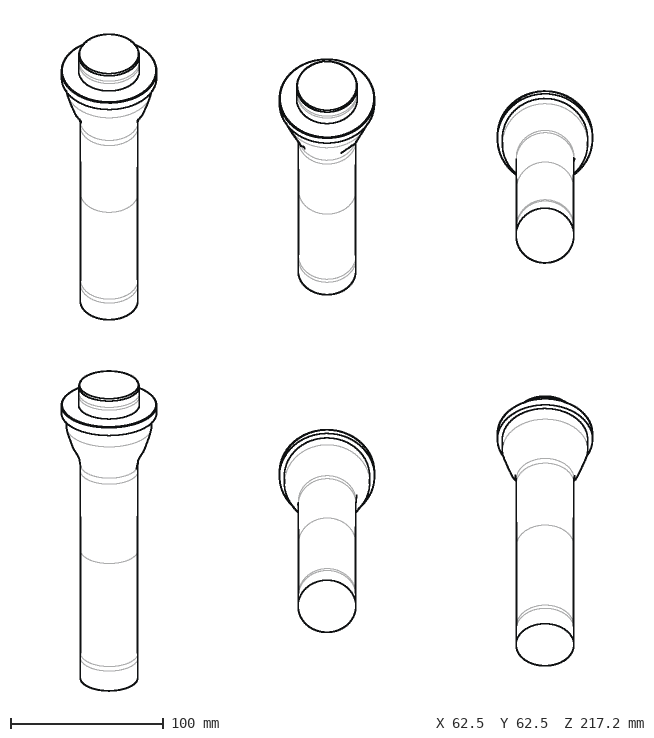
import cadquery as cq

GRIP_DIAMETER = 37.63
COLLAR_DIAMETER = 38.02
BELL_DIAMETER = 56.0
FLANGE_DIAMETER = 62.5
HEAD_BASE_DIAMETER = 39.99
HEAD_DIAMETER = 39.7

COLLAR_TOP = 15.0
GRIP_START = 18.25
GRIP_END = 94.75
NECK_START = 153.75
NECK_END = 158.25
BELL_START = 186.25
FLANGE_START = 196.25
FLANGE_TOP = 202.5
HEAD_TAPER_START = 209.25
HEAD_TAPER_END = 211.25
TOTAL_HEIGHT = 217.25

FLANGE_CHAMFER = 0.5
HEAD_CHAMFER_WIDTH = 0.5
HEAD_CHAMFER_HEIGHT = 1.5

FLARE_TURN = (20.2, 164.8)
FLARE_LOWER = (22.8, 169.5)
FLARE_UPPER = (26.0, 178.8)
FLARE_END_TANGENT = (0.15, 1.0)
VERTICAL = (0.0, 1.0)

grip_radius = GRIP_DIAMETER / 2
collar_radius = COLLAR_DIAMETER / 2
bell_radius = BELL_DIAMETER / 2
flange_radius = FLANGE_DIAMETER / 2
head_base_radius = HEAD_BASE_DIAMETER / 2
head_radius = HEAD_DIAMETER / 2


def add_handle(profile):
    """Bottom collar, short cone, straight grip, then a gentle swell to the neck."""
    swell_height = (GRIP_END + NECK_START) / 2
    swell_radius = grip_radius + (collar_radius - grip_radius) / 4
    return (
        profile.lineTo(collar_radius, 0)
        .lineTo(collar_radius, COLLAR_TOP)
        .lineTo(grip_radius, GRIP_START)
        .lineTo(grip_radius, GRIP_END)
        .threePointArc((swell_radius, swell_height), (collar_radius, NECK_START))
        .lineTo(collar_radius, NECK_END)
    )


def add_bell_and_flange(profile):
    """Flared bell with a straight rim, carrying the flange with its chamfered top edge."""
    return (
        profile.spline(
            [FLARE_TURN, FLARE_LOWER, FLARE_UPPER, (bell_radius, BELL_START)],
            tangents=[VERTICAL, FLARE_END_TANGENT],
            includeCurrent=True,
        )
        .lineTo(bell_radius, FLANGE_START)
        .lineTo(flange_radius, FLANGE_START)
        .lineTo(flange_radius, FLANGE_TOP - FLANGE_CHAMFER)
        .lineTo(flange_radius - FLANGE_CHAMFER, FLANGE_TOP)
    )


def add_head(profile):
    """Stub on the flange: slight taper between two cylinders and a chamfered top edge."""
    return (
        profile.lineTo(head_base_radius, FLANGE_TOP)
        .lineTo(head_base_radius, HEAD_TAPER_START)
        .lineTo(head_radius, HEAD_TAPER_END)
        .lineTo(head_radius, TOTAL_HEIGHT - HEAD_CHAMFER_HEIGHT)
        .lineTo(head_radius - HEAD_CHAMFER_WIDTH, TOTAL_HEIGHT)
        .lineTo(0, TOTAL_HEIGHT)
    )


half_profile = cq.Workplane("XZ").moveTo(0, 0)
half_profile = add_handle(half_profile)
half_profile = add_bell_and_flange(half_profile)
half_profile = add_head(half_profile)

result = half_profile.close().revolve(360, (0, 0, 0), (0, 1, 0))